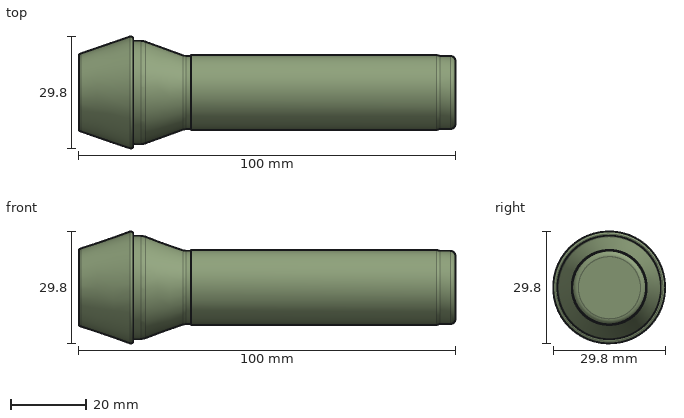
import cadquery as cq
import math

LENGTH = 100.0

CAP_LENGTH = 14.5
CAP_MAX_RADIUS = 14.9
CAP_ROUND = 0.7
RIM_CREST_RADIUS = 9.7
DISH_FLOOR_RADIUS = 8.3
DISH_WALL_ANGLE = 45.0

COLLAR_RADIUS = 27.5 / 2
COLLAR_END = 17.0
NECK_START = 28.0
NECK_RADIUS = 19.5 / 2
COLLAR_ROUND = 3.5
NECK_ROUND = 2.5
SHANK_RADIUS = 20.0 / 2
SHANK_START = 29.9
SHANK_END = 94.9
STEP_ANGLE = 15.0
TIP_ROUND = 1.5

RADIUS_STEP = SHANK_RADIUS - NECK_RADIUS
TIP_STEP_LENGTH = RADIUS_STEP / math.tan(math.radians(STEP_ANGLE))


def edges_at(body, x, radius):
    """Select the circular edge of the given radius at the given X."""
    margin = 0.01
    return body.edges(
        cq.selectors.BoxSelector(
            (x - margin, -radius - margin, -radius - margin),
            (x + margin, radius + margin, radius + margin),
            boundingbox=True,
        )
    ).edges(cq.selectors.RadiusNthSelector(-1))


def point_on_round(center, angle):
    """Point on a cap edge round; the angle in degrees is measured from +X."""
    turned = math.radians(angle)
    return (center[0] + CAP_ROUND * math.cos(turned), center[1] + CAP_ROUND * math.sin(turned))


def make_cap():
    rim_center = (CAP_ROUND, RIM_CREST_RADIUS)
    rear_center = (CAP_LENGTH - CAP_ROUND, CAP_MAX_RADIUS - CAP_ROUND)

    cone_angle = math.degrees(
        math.atan2(rear_center[1] - rim_center[1], rear_center[0] - rim_center[0])
    )
    cone_normal = 90 + cone_angle
    wall_normal = 270 - DISH_WALL_ANGLE

    wall_start = point_on_round(rim_center, wall_normal)
    wall_slope = math.tan(math.radians(DISH_WALL_ANGLE))
    floor_x = wall_start[0] + (wall_start[1] - DISH_FLOOR_RADIUS) / wall_slope

    return (
        cq.Workplane("XY")
        .moveTo(floor_x, 0)
        .lineTo(floor_x, DISH_FLOOR_RADIUS)
        .lineTo(*wall_start)
        .threePointArc(point_on_round(rim_center, 180), point_on_round(rim_center, cone_normal))
        .lineTo(*point_on_round(rear_center, cone_normal))
        .threePointArc(point_on_round(rear_center, 90), point_on_round(rear_center, 0))
        .lineTo(CAP_LENGTH, 0)
        .close()
        .revolve(360, (0, 0, 0), (1, 0, 0))
    )


def make_handle():
    outline = [
        (CAP_LENGTH, 0),
        (CAP_LENGTH, COLLAR_RADIUS),
        (COLLAR_END, COLLAR_RADIUS),
        (NECK_START, NECK_RADIUS),
        (SHANK_START - RADIUS_STEP, NECK_RADIUS),
        (SHANK_START, SHANK_RADIUS),
        (SHANK_END, SHANK_RADIUS),
        (SHANK_END + TIP_STEP_LENGTH, NECK_RADIUS),
        (LENGTH, NECK_RADIUS),
        (LENGTH, 0),
    ]
    handle = cq.Workplane("XY").polyline(outline).close().revolve(360, (0, 0, 0), (1, 0, 0))
    handle = edges_at(handle, COLLAR_END, COLLAR_RADIUS).fillet(COLLAR_ROUND)
    handle = edges_at(handle, NECK_START, NECK_RADIUS).fillet(NECK_ROUND)
    return edges_at(handle, LENGTH, NECK_RADIUS).fillet(TIP_ROUND)


cap = make_cap()
handle = make_handle()
result = cq.Compound.makeCompound([cap.val(), handle.val()])